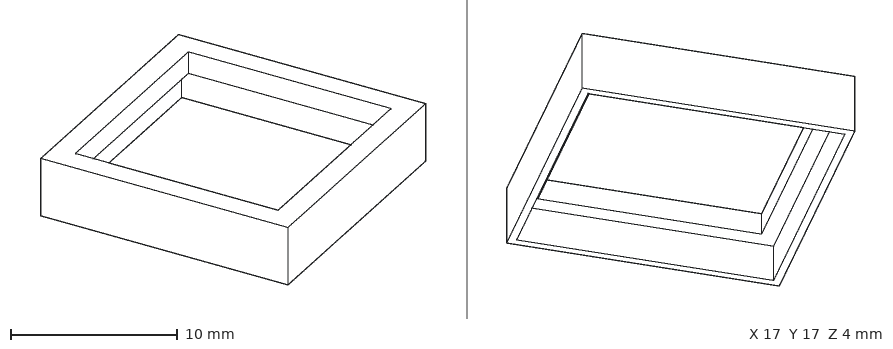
import cadquery as cq

outer_side = 17.0
height = 4.0
lip_width = 1.53
lip_thickness = 1.5
skirt_thickness = 0.5

opening_side = outer_side - 2 * lip_width
recess_side = outer_side - 2 * skirt_thickness
recess_depth = height - lip_thickness


def square_block(side, block_height):
    """Square block centred on Z, standing on the base plane."""
    return cq.Workplane("XY").box(side, side, block_height, centered=(True, True, False))


frame = square_block(outer_side, height)
opening = square_block(opening_side, height)
recess = square_block(recess_side, recess_depth)

result = frame.cut(opening).cut(recess)